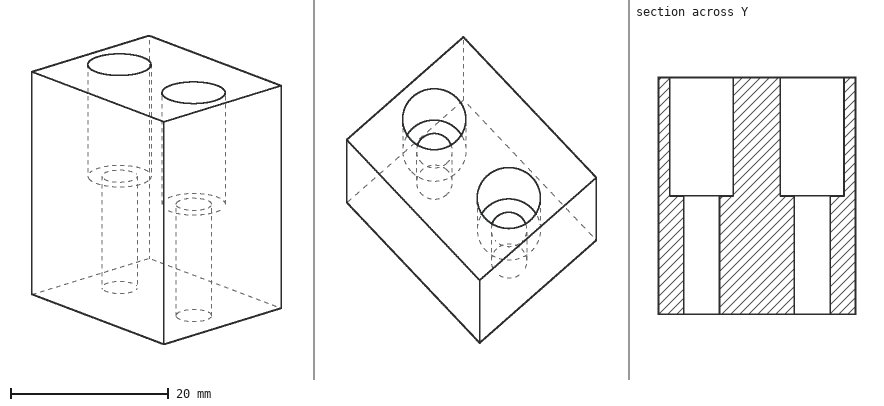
import cadquery as cq

width = 25.0
depth = 20.0
height = 30.0

hole_spacing = 14.0
hole_diameter = 4.5
counterbore_diameter = 8.0
counterbore_depth = height / 2

block = cq.Workplane("XY").box(width, depth, height, centered=(True, True, False))

result = (
    block.faces(">Z")
    .workplane()
    .rarray(hole_spacing, depth, 2, 1)
    .cboreHole(hole_diameter, counterbore_diameter, counterbore_depth)
)